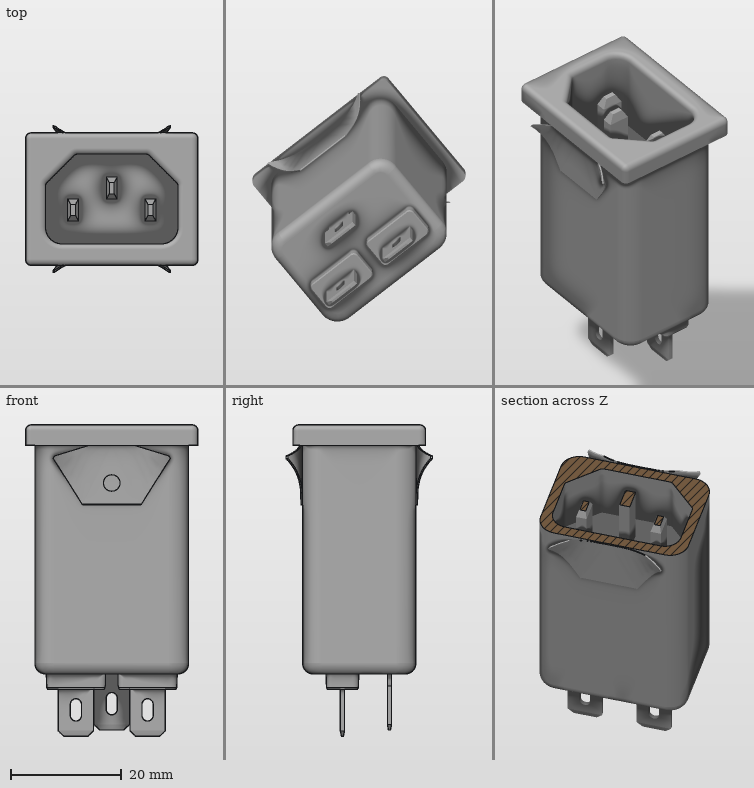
import cadquery as cq
import math


TOTAL_HEIGHT = 56.4
SELECTION_MARGIN = 0.3

FLANGE_LENGTH = 31.2
FLANGE_WIDTH = 24.0
FLANGE_HEIGHT = 3.7
FLANGE_ROUND = 1.05

BODY_LENGTH = 27.85
BODY_WIDTH = 20.55
BODY_DEPTH = 41.4
BODY_CORNER_RADIUS = 3.5
BODY_BOTTOM_ROUND = 2.0
BODY_FACE = BODY_WIDTH / 2
BODY_BOTTOM = -BODY_DEPTH

CAVITY_LENGTH = 23.95
CAVITY_WIDTH = 16.25
CAVITY_DEPTH = 15.8
CAVITY_CHAMFER = 5.4
CHAMFER_CORNER_RADIUS = 0.85
CAVITY_CORNER_RADIUS = 3.0
CAVITY_MOUTH_ROUND = 1.0
CAVITY_FLOOR = FLANGE_HEIGHT - CAVITY_DEPTH

PIN_THICKNESS = 2.0
PIN_WIDTH = 4.0
PIN_TIP_THICKNESS = 0.9
PIN_TIP_WIDTH = 2.05
PIN_TIP_HEIGHT = 1.7
MIDDLE_PIN_RECESS = 1.4
SIDE_PIN_SHORTER_BY = 2.8
MIDDLE_PIN_TOP = FLANGE_HEIGHT - MIDDLE_PIN_RECESS
SIDE_PIN_TOP = MIDDLE_PIN_TOP - SIDE_PIN_SHORTER_BY
PIN_SPACING = 7.0
PIN_OFFSET = 2.0
PINS = [
    (-PIN_SPACING, -PIN_OFFSET, SIDE_PIN_TOP),
    (0, PIN_OFFSET, MIDDLE_PIN_TOP),
    (PIN_SPACING, -PIN_OFFSET, SIDE_PIN_TOP),
]

TAB_WIDTH = 6.45
TAB_THICKNESS = 0.8
TAB_TIP_WIDTH = 4.35
TAB_TIP_THICKNESS = 0.4
TAB_TIP_HEIGHT = 1.0
TAB_SPACING = 6.5
SLOT_LENGTH = 4.0
SLOT_WIDTH = 2.0
SLOT_ABOVE_TIP = 4.8
TAB_BOTTOM = FLANGE_HEIGHT - TOTAL_HEIGHT
SIDE_TAB_Y = -3.05
MIDDLE_TAB_Y = 5.45
MIDDLE_TAB_SHORTER_BY = 1.1
MIDDLE_TAB_BOTTOM = TAB_BOTTOM + MIDDLE_TAB_SHORTER_BY
NECK_WIDTH = 4.5
NECK_HEIGHT = 2.15

BLOCK_LENGTH = 10.8
BLOCK_WIDTH = 6.0
BLOCK_HEIGHT = 2.75
BLOCK_CORNER_RADIUS = 1.0
BLOCK_DRAFT_ANGLE = 2.0
BLOCK_EDGE_HEIGHT = 0.35
BLOCK_EDGE_INSET = 0.15

CLIP_THICKNESS = 0.3
CLIP_HEIGHT = 10.85
CLIP_BASE_BEVEL = 0.15
CLIP_BASE_HALF = 5.25
WING_TOP_HALF = 4.05
WING_SHOULDER = (10.3, -1.9)
WING_TIP = (10.6, -2.35)
WING_REACH = 9.0
WING_RISE = 3.15
RIVET_DIAMETER = 3.0
RIVET_Z = -6.8


def make_flange():
    """Rectangular flange with rounded upright and top edges."""
    flange = cq.Workplane("XY").box(FLANGE_LENGTH, FLANGE_WIDTH, FLANGE_HEIGHT, centered=(True, True, False))
    return flange.edges("|Z or >Z").fillet(FLANGE_ROUND)


def make_body():
    """Rounded block hanging below the flange."""
    body = cq.Workplane("XY").workplane(offset=BODY_BOTTOM)
    body = body.box(BODY_LENGTH, BODY_WIDTH, BODY_DEPTH, centered=(True, True, False))
    body = body.edges("|Z").fillet(BODY_CORNER_RADIUS)
    return body.faces("<Z").edges().fillet(BODY_BOTTOM_ROUND)


def make_cavity():
    """Plug-shaped pocket, open at the top, with its +Y corners cut at 45 degrees."""
    half_length = CAVITY_LENGTH / 2
    half_width = CAVITY_WIDTH / 2
    cavity = (
        cq.Workplane("XY")
        .workplane(offset=CAVITY_FLOOR)
        .moveTo(-half_length, -half_width)
        .lineTo(half_length, -half_width)
        .lineTo(half_length, half_width - CAVITY_CHAMFER)
        .lineTo(half_length - CAVITY_CHAMFER, half_width)
        .lineTo(CAVITY_CHAMFER - half_length, half_width)
        .lineTo(-half_length, half_width - CAVITY_CHAMFER)
        .close()
        .extrude(CAVITY_DEPTH)
    )
    cavity = cavity.edges("|Z and <Y").fillet(CAVITY_CORNER_RADIUS)
    chamfer_side = cq.selectors.BoxSelector(
        (-half_length - SELECTION_MARGIN, half_width - CAVITY_CHAMFER - SELECTION_MARGIN, CAVITY_FLOOR),
        (half_length + SELECTION_MARGIN, half_width + SELECTION_MARGIN, FLANGE_HEIGHT),
    )
    return cavity.edges("|Z").edges(chamfer_side).fillet(CHAMFER_CORNER_RADIUS)


def make_pin(x, y, top):
    """Upright contact pin with a tapered tip."""
    shoulder = top - PIN_TIP_HEIGHT
    shank = (
        cq.Workplane("XY", origin=(x, y, CAVITY_FLOOR))
        .rect(PIN_THICKNESS, PIN_WIDTH)
        .extrude(shoulder - CAVITY_FLOOR)
    )
    tip = (
        cq.Workplane("XY", origin=(x, y, shoulder))
        .rect(PIN_THICKNESS, PIN_WIDTH)
        .workplane(offset=PIN_TIP_HEIGHT)
        .rect(PIN_TIP_THICKNESS, PIN_TIP_WIDTH)
        .loft(ruled=True)
    )
    return shank.union(tip)


def make_tab(x, y, top, bottom):
    """Slotted solder tab reaching from top down to a tapered tip at bottom."""
    shoulder = bottom + TAB_TIP_HEIGHT
    blade = (
        cq.Workplane("XY", origin=(x, y, shoulder))
        .rect(TAB_WIDTH, TAB_THICKNESS)
        .extrude(top - shoulder)
    )
    tip = (
        cq.Workplane("XY", origin=(x, y, bottom))
        .rect(TAB_TIP_WIDTH, TAB_TIP_THICKNESS)
        .workplane(offset=TAB_TIP_HEIGHT)
        .rect(TAB_WIDTH, TAB_THICKNESS)
        .loft(ruled=True)
    )
    slot = (
        cq.Workplane("XZ", origin=(x, y, bottom + SLOT_ABOVE_TIP))
        .slot2D(SLOT_LENGTH, SLOT_WIDTH, 90)
        .extrude(TAB_THICKNESS, both=True)
    )
    return blade.union(tip).cut(slot)


def make_neck():
    """Narrow neck joining the middle tab to the body."""
    neck = cq.Workplane("XY", origin=(0, MIDDLE_TAB_Y, BODY_BOTTOM))
    return neck.rect(NECK_WIDTH, TAB_THICKNESS).extrude(-NECK_HEIGHT)


def make_block(x):
    """Slightly drafted block around the root of a side tab."""
    block = (
        cq.Workplane("XY", origin=(x, SIDE_TAB_Y, BODY_BOTTOM))
        .sketch()
        .rect(BLOCK_LENGTH, BLOCK_WIDTH)
        .vertices()
        .fillet(BLOCK_CORNER_RADIUS)
        .finalize()
        .extrude(-BLOCK_HEIGHT, taper=BLOCK_DRAFT_ANGLE)
    )
    return block.faces("<Z").chamfer(BLOCK_EDGE_HEIGHT, BLOCK_EDGE_INSET)


def make_rivet(side):
    """Round stud on a long face, flush with the outside of the clip it holds."""
    stud = cq.Workplane("XZ", origin=(0, side * BODY_FACE, RIVET_Z)).circle(RIVET_DIAMETER / 2)
    return stud.extrude(-side * CLIP_THICKNESS)


def make_housing():
    """Flange, body, cavity, pins, tabs and rivets as one solid."""
    housing = make_flange().union(make_body()).cut(make_cavity())
    mouth_x = CAVITY_LENGTH / 2 + SELECTION_MARGIN
    mouth_y = CAVITY_WIDTH / 2 + SELECTION_MARGIN
    mouth = cq.selectors.BoxSelector(
        (-mouth_x, -mouth_y, FLANGE_HEIGHT - SELECTION_MARGIN),
        (mouth_x, mouth_y, FLANGE_HEIGHT + SELECTION_MARGIN),
    )
    housing = housing.edges(mouth).fillet(CAVITY_MOUTH_ROUND)
    for x, y, top in PINS:
        housing = housing.union(make_pin(x, y, top))
    for x in (-TAB_SPACING, TAB_SPACING):
        housing = housing.union(make_block(x))
        housing = housing.union(make_tab(x, SIDE_TAB_Y, BODY_BOTTOM, TAB_BOTTOM))
    housing = housing.union(make_neck())
    housing = housing.union(make_tab(0, MIDDLE_TAB_Y, BODY_BOTTOM - NECK_HEIGHT, MIDDLE_TAB_BOTTOM))
    for side in (-1, 1):
        housing = housing.union(make_rivet(side))
    return housing


def make_wing():
    """Right wing of the -Y clip: a sheet bent about the slanted edge of the triangle."""
    fold_length = math.hypot(CLIP_BASE_HALF, CLIP_HEIGHT)
    fold_direction = cq.Vector(CLIP_BASE_HALF, 0, -CLIP_HEIGHT) / fold_length
    away_from_fold = cq.Vector(CLIP_HEIGHT, 0, CLIP_BASE_HALF) / fold_length
    bend_plane = cq.Plane((0, -BODY_FACE, 0), away_from_fold, fold_direction)
    third = WING_REACH / 3
    end_slope = math.atan2(WING_RISE, third)
    inner_end = (WING_REACH, WING_RISE)
    outer_end = (
        WING_REACH - CLIP_THICKNESS * math.sin(end_slope),
        WING_RISE + CLIP_THICKNESS * math.cos(end_slope),
    )
    inner_curve = [(0, 0), (third, 0), (2 * third, 0), inner_end]
    outer_curve = [
        outer_end,
        (2 * third, CLIP_THICKNESS),
        (third, CLIP_THICKNESS),
        (0, CLIP_THICKNESS),
    ]
    sheet = (
        cq.Workplane(bend_plane)
        .bezier(inner_curve)
        .lineTo(*outer_end)
        .bezier(outer_curve)
        .close()
        .extrude(fold_length, both=True)
    )
    outline = [(0, 0), (WING_TOP_HALF, 0), WING_SHOULDER, WING_TIP, (CLIP_BASE_HALF, -CLIP_HEIGHT)]
    blank = cq.Workplane("XZ").polyline(outline).close().extrude(FLANGE_WIDTH)
    return sheet.intersect(blank)


def make_clip():
    """Spring clip on the -Y face, with a hole for the rivet."""
    triangle = [(0, 0), (CLIP_BASE_HALF, -CLIP_HEIGHT), (-CLIP_BASE_HALF, -CLIP_HEIGHT)]
    face_plane = cq.Workplane("XZ", origin=(0, -BODY_FACE, 0))
    clip = face_plane.polyline(triangle).close().extrude(CLIP_THICKNESS)
    clip = clip.edges("<Y and <Z").chamfer(CLIP_BASE_BEVEL)
    wing = make_wing()
    clip = clip.union(wing).union(wing.mirror("YZ"))
    hole = face_plane.center(0, RIVET_Z).circle(RIVET_DIAMETER / 2).extrude(CLIP_THICKNESS)
    return clip.cut(hole)


housing = make_housing()
clips = [make_clip().rotate((0, 0, 0), (0, 0, 1), turn) for turn in (0, 180)]

result = cq.Compound.makeCompound([housing.solids().val(), *[clip.solids().val() for clip in clips]])